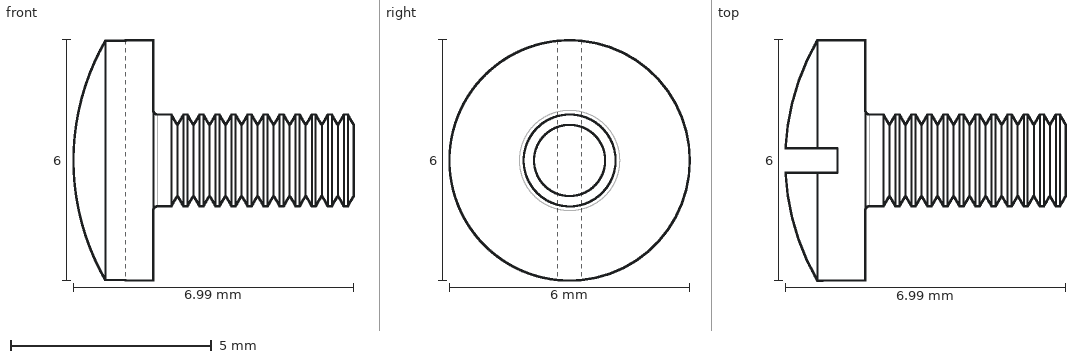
import cadquery as cq
import math

length = 6.99
head_diameter = 6.0
head_back = 1.99
dome_radius = head_diameter

slot_width = 0.6
slot_depth = 1.29

thread_radius = 1.145
root_radius = 0.89
thread_length = 4.4
thread_count = 11
crest_width = 0.1
neck_fillet = 0.105

head_radius = head_diameter / 2
pitch = thread_length / thread_count
flank_width = (pitch - crest_width) / 2
thread_start = length - thread_length


def dome_sag(radius):
    """Distance along X from the dome apex back to the dome surface at a radius."""
    return dome_radius - math.sqrt(dome_radius**2 - radius**2)


apex_x = -dome_sag(slot_width / 2)


def make_head():
    rim_x = apex_x + dome_sag(head_radius)
    mid_radius = head_radius / 2
    profile = (
        cq.Workplane("XY")
        .moveTo(apex_x, 0)
        .threePointArc((apex_x + dome_sag(mid_radius), mid_radius), (rim_x, head_radius))
        .lineTo(head_back, head_radius)
        .lineTo(head_back, 0)
        .close()
    )
    return profile.revolve(360, (0, 0, 0), (1, 0, 0))


def make_shank():
    """Neck with a fillet under the head, then separate V-shaped thread rings."""
    embedded_x = (slot_depth + head_back) / 2
    fillet_outer = thread_radius + neck_fillet
    fillet_mid = neck_fillet * (1 - math.sqrt(0.5))
    profile = (
        cq.Workplane("XY")
        .moveTo(embedded_x, 0)
        .lineTo(embedded_x, fillet_outer)
        .lineTo(head_back, fillet_outer)
        .threePointArc(
            (head_back + fillet_mid, thread_radius + fillet_mid),
            (head_back + neck_fillet, thread_radius),
        )
        .lineTo(thread_start - flank_width, thread_radius)
        .lineTo(thread_start, root_radius)
    )
    for ring in range(thread_count):
        ring_start = thread_start + ring * pitch
        profile = (
            profile
            .lineTo(ring_start + flank_width, thread_radius)
            .lineTo(ring_start + flank_width + crest_width, thread_radius)
            .lineTo(ring_start + pitch, root_radius)
        )
    return profile.lineTo(length, 0).close().revolve(360, (0, 0, 0), (1, 0, 0))


def make_slot():
    """Straight driver slot running along Z across the whole head."""
    depth_from_apex = slot_depth - apex_x
    return (
        cq.Workplane("XY")
        .box(depth_from_apex, slot_width, head_diameter, centered=(False, True, True))
        .translate((apex_x, 0, 0))
    )


result = make_head().union(make_shank()).cut(make_slot())